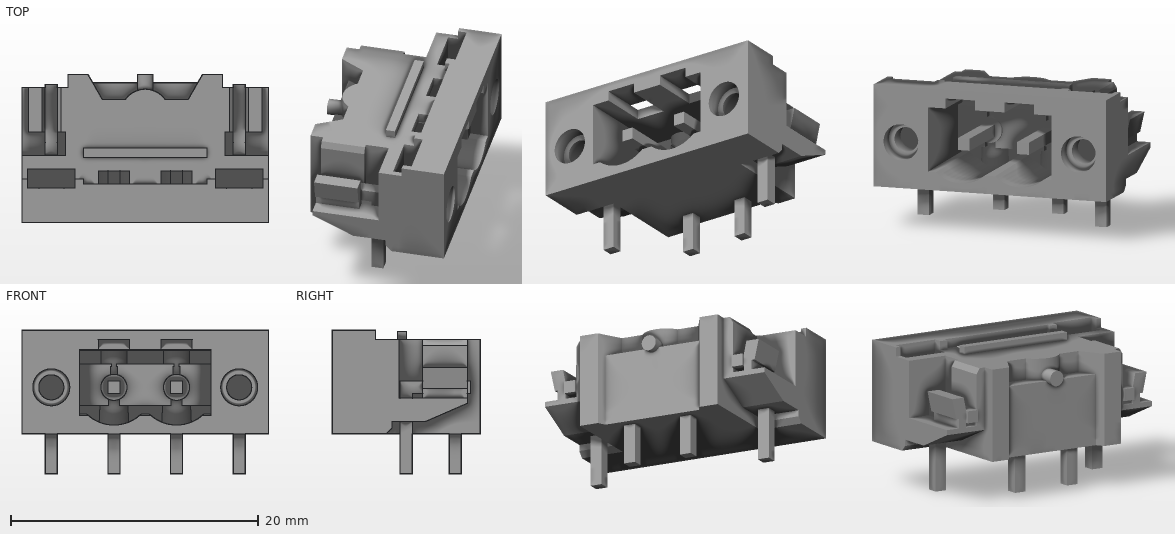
import cadquery as cq


WIDTH = 19.96
DEPTH = 12.0
BODY_TOP = 7.65
FLANGE_TOP = 8.4
FLANGE_DEPTH = 3.51
FRONT_BLOCK_DEPTH = 5.43
CORE_HALF_WIDTH = 6.27
RECESS_HALF_WIDTH = 6.47
WALL_FRONT = 7.33
WALL_BACK = 10.94
WALL_TOP_HALF_WIDTH = 6.8
WALL_CHAMFER_HEIGHT = 0.48

PITCH = 5.07
PIN_SIZE = 1.0
AXIS_HEIGHT = 3.77
PIN_BOTTOM = -3.23
CONTACT_FRONT = 0.9
CONTACT_BACK = 10.45
CONTACT_POSITIONS = (-PITCH / 2, PITCH / 2)
SIDE_PIN_FRONT = 5.49
SIDE_PIN_BACK = 11.2
SIDE_OFFSET = 1.5 * PITCH
SIDE_POSITIONS = (-SIDE_OFFSET, SIDE_OFFSET)
SIDE_PIN_INNER = SIDE_OFFSET - PIN_SIZE / 2
SIDE_PIN_OUTER = SIDE_OFFSET + PIN_SIZE / 2

LEDGE_TOP = 2.9
LEDGE_TIP_BOTTOM = 2.48
LEDGE_UNDERSIDE = 1.0
LEDGE_SLOPE_START = 7.55
FOOT_BACK = 4.85
FOOT_CHAMFER = 0.48
CLIP_TOP = 5.39
CLIP_SLOPE_BOTTOM = 3.7
CLIP_TIP_OUTER = 9.46
CLIP_TIP_INNER = 8.35
CLIP_SLOPE_OUTER = 9.08
CLIP_ROOT_OUTER = 8.82

CAVITY_HALF_WIDTH = 5.3
CAVITY_TOP = 6.83
CAVITY_TOP_BACK = 6.75
CAVITY_DEPTH = 8.58
CAVITY_FLOOR_FRONT = 1.5
CAVITY_FLOOR_BACK = 1.62
SCOOP_BOTTOM = 0.72
SCOOP_RADIUS = 3.17
SLOT_WIDTH = 2.51
SLOT_DEPTH = 4.2

BLOCK_FRONT = 7.39
BLOCK_BOTTOM = 2.3
BLOCK_TOP = 5.65
SLEEVE_RADIUS = 1.05
SLEEVE_FRONT = 7.19
COLUMN_SETBACK = 0.6
COLUMN_RADIUS = 1.22
COLUMN_FOOT_RADIUS = 1.38
UPPER_NECK_WIDTH = 0.55
NECK_LIP_WIDTH = 0.4
NECK_LIP_BOTTOM = 5.47
LOWER_NECK_WIDTH = 0.92

SCREW_HOLE_RADIUS = 1.5
SCREW_HOLE_DEPTH = 1.32
THREAD_HOLE_RADIUS = 1.02
POCKET_FRONT = 2.8
POCKET_BACK = 4.33
POCKET_WIDTH = 3.83
POCKET_FLOOR = AXIS_HEIGHT - POCKET_WIDTH / 2

RIB_HALF_LENGTH = 4.99
RIB_FRONT = 5.27
RIB_BACK = 6.03
RIB_TOP = 8.3
FLANGE_NOTCH_FRONT = 3.13

NOTCH_MOUTH_HALF_WIDTH = 4.63
NOTCH_FLOOR_HALF_WIDTH = 3.47
NOTCH_FLOOR = 9.96
BULGE_HALF_WIDTH = 1.62
BULGE_TIP = 10.8
SHELF_BACK = 11.34
SHELF_TOP = 5.89
STUD_RADIUS = 0.64
STUD_HEIGHT = 6.15


def box(x0, x1, y0, y1, z0, z1):
    """Box between two opposite corners."""
    return cq.Workplane("XY").box(x1 - x0, y1 - y0, z1 - z0, centered=False).translate((x0, y0, z0))


def side_profile(points, half_width):
    """Prism of a (y, z) outline, centred on X = 0."""
    return cq.Workplane("YZ").polyline(points).close().extrude(half_width, both=True)


def front_profile(points, y0, y1):
    """Prism of an (x, z) outline between two depths."""
    return cq.Workplane("XZ", origin=(0, y0, 0)).polyline(points).close().extrude(y0 - y1)


def rod(x, z, radius, y0, y1):
    """Cylinder along Y between two depths."""
    return cq.Workplane("XZ", origin=(x, y0, z)).circle(radius).extrude(y0 - y1)


def with_mirror(right_half):
    """A right-hand shape together with its mirror image."""
    return right_half.union(right_half.mirror("YZ"))


def envelope():
    """Core, full-width front block and the two side ledges."""
    core = side_profile(
        [(0, 0), (DEPTH, 0), (DEPTH, BODY_TOP), (FLANGE_DEPTH, BODY_TOP), (FLANGE_DEPTH, FLANGE_TOP),
         (0, FLANGE_TOP)],
        CORE_HALF_WIDTH,
    )
    flank = side_profile(
        [(0, 0), (FOOT_BACK - FOOT_CHAMFER, 0), (FOOT_BACK, FOOT_CHAMFER), (FOOT_BACK, LEDGE_UNDERSIDE),
         (LEDGE_SLOPE_START, LEDGE_UNDERSIDE), (WALL_BACK, LEDGE_TIP_BOTTOM), (WALL_BACK, LEDGE_TOP),
         (FRONT_BLOCK_DEPTH, LEDGE_TOP), (FRONT_BLOCK_DEPTH, BODY_TOP), (FLANGE_DEPTH, BODY_TOP),
         (FLANGE_DEPTH, FLANGE_TOP), (0, FLANGE_TOP)],
        WIDTH / 2,
    )
    flange_notch = box(
        -RIB_HALF_LENGTH, RIB_HALF_LENGTH, FLANGE_NOTCH_FRONT, FLANGE_DEPTH, BODY_TOP, FLANGE_TOP
    )
    return core.union(flank).cut(flange_notch)


def side_walls():
    """Walls of the core above the ledges, thicker and chamfered beside the clips."""
    recess_wall = box(0, RECESS_HALF_WIDTH, FRONT_BLOCK_DEPTH, WALL_FRONT, LEDGE_TOP, BODY_TOP)
    clip_wall = front_profile(
        [(0, LEDGE_TOP), (SIDE_PIN_INNER, LEDGE_TOP), (SIDE_PIN_INNER, BODY_TOP - WALL_CHAMFER_HEIGHT),
         (WALL_TOP_HALF_WIDTH, BODY_TOP), (0, BODY_TOP)],
        WALL_FRONT, WALL_BACK,
    )
    return with_mirror(recess_wall.union(clip_wall))


def clips():
    """Snap clips on the ledges, hooked outwards and leaning on the side pins."""
    pin_top = AXIS_HEIGHT + PIN_SIZE / 2
    clip = front_profile(
        [(SIDE_PIN_OUTER, LEDGE_TOP), (CLIP_ROOT_OUTER, LEDGE_TOP), (CLIP_ROOT_OUTER, CLIP_SLOPE_BOTTOM),
         (CLIP_SLOPE_OUTER, CLIP_SLOPE_BOTTOM), (CLIP_TIP_OUTER, CLIP_TOP),
         (CLIP_TIP_INNER, CLIP_TOP), (SIDE_PIN_OUTER, pin_top)],
        WALL_FRONT, WALL_BACK,
    )
    return with_mirror(clip)


def rear_notch():
    """Trapezoidal notch with a round bulge, and a shelf left across its lower part."""
    notch = (
        cq.Workplane("XY", origin=(0, 0, SHELF_TOP))
        .moveTo(-NOTCH_MOUTH_HALF_WIDTH, DEPTH)
        .lineTo(-NOTCH_FLOOR_HALF_WIDTH, NOTCH_FLOOR)
        .lineTo(-BULGE_HALF_WIDTH, NOTCH_FLOOR)
        .threePointArc((0, BULGE_TIP), (BULGE_HALF_WIDTH, NOTCH_FLOOR))
        .lineTo(NOTCH_FLOOR_HALF_WIDTH, NOTCH_FLOOR)
        .lineTo(NOTCH_MOUTH_HALF_WIDTH, DEPTH)
        .close()
        .extrude(BODY_TOP - SHELF_TOP)
    )
    slope = (NOTCH_MOUTH_HALF_WIDTH - NOTCH_FLOOR_HALF_WIDTH) / (DEPTH - NOTCH_FLOOR)
    shelf_half_width = NOTCH_FLOOR_HALF_WIDTH + slope * (SHELF_BACK - NOTCH_FLOOR)
    below_shelf = (
        cq.Workplane("XY")
        .polyline([(-NOTCH_MOUTH_HALF_WIDTH, DEPTH), (-shelf_half_width, SHELF_BACK),
                   (shelf_half_width, SHELF_BACK), (NOTCH_MOUTH_HALF_WIDTH, DEPTH)])
        .close()
        .extrude(SHELF_TOP)
    )
    return notch.union(below_shelf)


def contact_block():
    """Block holding the contacts, with a sleeve, necks and columns at each contact."""
    block = box(-CAVITY_HALF_WIDTH, CAVITY_HALF_WIDTH, BLOCK_FRONT, CAVITY_DEPTH, BLOCK_BOTTOM, BLOCK_TOP)
    for x in CONTACT_POSITIONS:
        for width, z0, z1 in (
            (NECK_LIP_WIDTH, NECK_LIP_BOTTOM, BLOCK_TOP),
            (UPPER_NECK_WIDTH, AXIS_HEIGHT, NECK_LIP_BOTTOM),
            (LOWER_NECK_WIDTH, BLOCK_BOTTOM, AXIS_HEIGHT),
        ):
            block = block.cut(box(x - width / 2, x + width / 2, BLOCK_FRONT, CAVITY_DEPTH, z0, z1))
        column_base = cq.Workplane("XY", origin=(x, CAVITY_DEPTH + COLUMN_SETBACK, 0))
        upper_column = (
            column_base.workplane(offset=AXIS_HEIGHT)
            .circle(COLUMN_RADIUS)
            .extrude(CAVITY_TOP - AXIS_HEIGHT)
        )
        lower_column = (
            column_base.circle(COLUMN_FOOT_RADIUS)
            .workplane(offset=AXIS_HEIGHT)
            .circle(COLUMN_RADIUS)
            .loft(ruled=True)
        )
        sleeve = rod(x, AXIS_HEIGHT, SLEEVE_RADIUS, SLEEVE_FRONT, CAVITY_DEPTH)
        block = block.union(upper_column).union(lower_column).union(sleeve)
    return block


def cavity():
    """Plug opening with drafted floor and ceiling, a scoop below and a slot above each contact."""
    opening = side_profile(
        [(0, CAVITY_FLOOR_FRONT), (CAVITY_DEPTH, CAVITY_FLOOR_BACK), (CAVITY_DEPTH, CAVITY_TOP_BACK),
         (SLOT_DEPTH, CAVITY_TOP), (0, CAVITY_TOP)],
        CAVITY_HALF_WIDTH,
    )
    limits = box(-CAVITY_HALF_WIDTH, CAVITY_HALF_WIDTH, 0, CAVITY_DEPTH, 0, AXIS_HEIGHT)
    for x in CONTACT_POSITIONS:
        scoop = rod(x, SCOOP_BOTTOM + SCOOP_RADIUS, SCOOP_RADIUS, 0, CAVITY_DEPTH).intersect(limits)
        slot = box(x - SLOT_WIDTH / 2, x + SLOT_WIDTH / 2, 0, SLOT_DEPTH, AXIS_HEIGHT, BODY_TOP)
        opening = opening.union(scoop).union(slot)
    return opening.cut(contact_block())


def screw_mount(x):
    """Stepped screw hole running into a nut pocket that is open at the top."""
    hole = rod(x, AXIS_HEIGHT, SCREW_HOLE_RADIUS, 0, SCREW_HOLE_DEPTH)
    thread_hole = rod(x, AXIS_HEIGHT, THREAD_HOLE_RADIUS, 0, POCKET_FRONT)
    half = POCKET_WIDTH / 2
    pocket = box(x - half, x + half, POCKET_FRONT, POCKET_BACK, POCKET_FLOOR, FLANGE_TOP)
    return hole.union(thread_hole).union(pocket)


def angle_pin(x, y0, y1, leg_back):
    """Square angle pin: a bar along Y with a leg going down."""
    half = PIN_SIZE / 2
    bar = box(x - half, x + half, y0, y1, AXIS_HEIGHT - half, AXIS_HEIGHT + half)
    leg = box(x - half, x + half, leg_back - PIN_SIZE, leg_back, PIN_BOTTOM, AXIS_HEIGHT + half)
    return bar.union(leg)


def make_housing(pins):
    """Housing with a matching passage for every pin."""
    rib = box(-RIB_HALF_LENGTH, RIB_HALF_LENGTH, RIB_FRONT, RIB_BACK, BODY_TOP, RIB_TOP)
    stud = rod(0, STUD_HEIGHT, STUD_RADIUS, NOTCH_FLOOR, DEPTH)
    body = envelope().union(side_walls()).union(clips()).cut(rear_notch()).union(rib).union(stud)
    body = body.cut(cavity())
    for x in SIDE_POSITIONS:
        body = body.cut(screw_mount(x))
    for pin in pins:
        body = body.cut(pin)
    return body


contacts = [angle_pin(x, CONTACT_FRONT, CONTACT_BACK, CONTACT_BACK) for x in CONTACT_POSITIONS]
side_pins = [angle_pin(x, SIDE_PIN_FRONT, SIDE_PIN_BACK, SIDE_PIN_FRONT + PIN_SIZE) for x in SIDE_POSITIONS]
housing = make_housing(contacts + side_pins)

result = cq.Compound.makeCompound(
    [housing.val(), *[pin.val() for pin in contacts], *[pin.val() for pin in side_pins]]
)